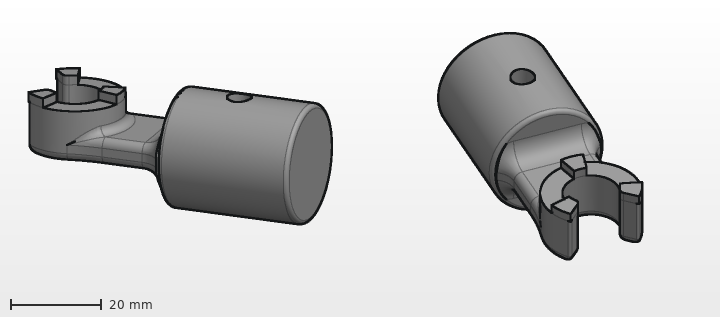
import cadquery as cq
import math

total_length = 63.7
clip_radius = 11.3
bore_radius = 6.35
mouth_angle = 133.5
inner_tip_round = 1.3
outer_tip_round = 0.65

arm_thickness = 6.0
arm_half_width = 10.05
edge_round = 2.0
neck_radius = 35.0
flare_radius = 4.95

clip_floor = 8.9
lug_top = 11.1
rear_lug_half_angle = 13.5
tip_lug_start_angle = 106.5

barrel_radius = 13.5
barrel_start = 24.95
barrel_round = 1.0
pin_hole_offset = 14.1
pin_hole_top_diameter = 5.5
pin_hole_bottom_diameter = 4.5

tolerance = 0.005

arm_bottom = -arm_thickness / 2
arm_top = arm_thickness / 2
barrel_end = total_length + clip_radius * math.cos(math.radians(mouth_angle))
barrel_length = barrel_end - barrel_start
barrel_face_radius = barrel_radius - barrel_round
neck_center_y = arm_half_width + neck_radius
neck_end_x = math.sqrt((clip_radius + neck_radius) ** 2 - neck_center_y ** 2)


def polar(radius, angle):
    """Point at a radius and an angle in degrees."""
    return radius * math.cos(math.radians(angle)), radius * math.sin(math.radians(angle))


def ring_sector(start, end, bottom, top):
    """Part of the clip ring between two angles and two heights."""
    middle = (start + end) / 2
    return (
        cq.Workplane("XY", origin=(0, 0, bottom))
        .moveTo(*polar(bore_radius, start))
        .lineTo(*polar(clip_radius, start))
        .threePointArc(polar(clip_radius, middle), polar(clip_radius, end))
        .lineTo(*polar(bore_radius, end))
        .threePointArc(polar(bore_radius, middle), polar(bore_radius, start))
        .close()
        .extrude(top - bottom)
    )


def box_around(point, half_size):
    """Box selector centred on a point, with half sizes along X, Y and Z."""
    low = tuple(p - h for p, h in zip(point, half_size))
    high = tuple(p + h for p, h in zip(point, half_size))
    return cq.selectors.BoxSelector(low, high)


def make_lugs():
    """One lug at the back of the clip and one on each tip."""
    rear_lug = ring_sector(-rear_lug_half_angle, rear_lug_half_angle, clip_floor, lug_top)
    tip_lugs = ring_sector(tip_lug_start_angle, mouth_angle, clip_floor, lug_top)
    inner_corner = (*polar(bore_radius, mouth_angle), (clip_floor + lug_top) / 2)
    tip_lugs = tip_lugs.edges(box_around(inner_corner, (tolerance,) * 3)).fillet(inner_tip_round)
    return rear_lug.union(tip_lugs).union(tip_lugs.mirror("XZ"))


def make_arm_slab():
    """Flat arm with a round end under the clip, joined by tangent side blends."""
    neck_angle = math.degrees(math.atan2(neck_center_y, neck_end_x))
    tangent_x, tangent_y = polar(clip_radius, neck_angle)
    middle_angle = (neck_angle - 180 - 90) / 2
    offset_x, offset_y = polar(neck_radius, middle_angle)
    middle_x = neck_end_x + offset_x
    middle_y = neck_center_y + offset_y
    slab = (
        cq.Workplane("XY", origin=(0, 0, arm_bottom))
        .moveTo(tangent_x, tangent_y)
        .threePointArc((middle_x, middle_y), (neck_end_x, arm_half_width))
        .lineTo(barrel_start, arm_half_width)
        .lineTo(barrel_start, -arm_half_width)
        .lineTo(neck_end_x, -arm_half_width)
        .threePointArc((middle_x, -middle_y), (tangent_x, -tangent_y))
        .threePointArc((-clip_radius, 0), (tangent_x, tangent_y))
        .close()
        .extrude(arm_thickness)
    )
    return slab.faces(">Z").edges("not >X").fillet(edge_round)


def add_clip_fillet(slab):
    """Fillet the arm's upper side against the outer wall of the clip."""
    post = cq.Workplane("XY", origin=(0, 0, arm_bottom)).circle(clip_radius).extrude(clip_floor - arm_bottom)
    joined = slab.union(post)
    upper_side = cq.selectors.BoxSelector(
        (0, -clip_radius, arm_top - edge_round + tolerance),
        (clip_radius + tolerance, clip_radius, arm_top + tolerance),
    )
    wall_edges = []
    for edge in joined.edges(upper_side).vals():
        middle = edge.positionAt(0.5)
        if abs(math.hypot(middle.x, middle.y) - clip_radius) < tolerance:
            wall_edges.append(edge)
    return joined.newObject(wall_edges).fillet(edge_round)


def open_clip(body):
    """Cut the bore and mouth, then round the tips and the whole bottom rim."""
    height = clip_floor - arm_bottom
    base = cq.Workplane("XY", origin=(0, 0, arm_bottom))
    bore = base.circle(bore_radius).extrude(height)
    reach = 2 * clip_radius
    mouth_outline = [(0, 0), polar(reach, mouth_angle), polar(reach, -mouth_angle)]
    mouth = base.polyline(mouth_outline).close().extrude(height)
    body = body.cut(bore.union(mouth))
    middle_z = arm_bottom + height / 2
    for angle in (-mouth_angle, mouth_angle):
        for radius, rounding in ((bore_radius, inner_tip_round), (clip_radius, outer_tip_round)):
            corner = (*polar(radius, angle), middle_z)
            body = body.edges(box_around(corner, (tolerance,) * 3)).fillet(rounding)
    return body.faces("<Z").edges("not >X").fillet(edge_round)


def add_barrel_flare(arm):
    """Fillet the arm into a plate wider than the barrel, then trim that flare to the barrel's flat front face."""
    plate_size = 4 * barrel_radius
    plate = cq.Workplane("YZ", origin=(barrel_start, 0, 0)).rect(plate_size, plate_size).extrude(barrel_round)
    junction = box_around((barrel_start, 0, 0), (tolerance, arm_half_width + tolerance, arm_top + tolerance))
    flared = arm.union(plate).edges(junction).fillet(flare_radius)
    trim = (
        cq.Workplane("YZ", origin=(neck_end_x, 0, 0))
        .circle(plate_size)
        .circle(barrel_face_radius)
        .extrude(barrel_start + barrel_round - neck_end_x)
    )
    return flared.cut(trim)


def make_barrel():
    """Plain barrel with rounded rims and a tapered pin hole down through it."""
    barrel = (
        cq.Workplane("YZ", origin=(barrel_start, 0, 0))
        .circle(barrel_radius)
        .extrude(barrel_length)
        .edges()
        .fillet(barrel_round)
    )
    pin_hole = cq.Solid.makeCone(
        pin_hole_bottom_diameter / 2,
        pin_hole_top_diameter / 2,
        2 * barrel_radius,
        pnt=cq.Vector(barrel_start + pin_hole_offset, 0, -barrel_radius),
    )
    return barrel.cut(cq.Workplane(obj=pin_hole))


fork = add_barrel_flare(open_clip(add_clip_fillet(make_arm_slab())))
result = fork.union(make_lugs()).union(make_barrel())